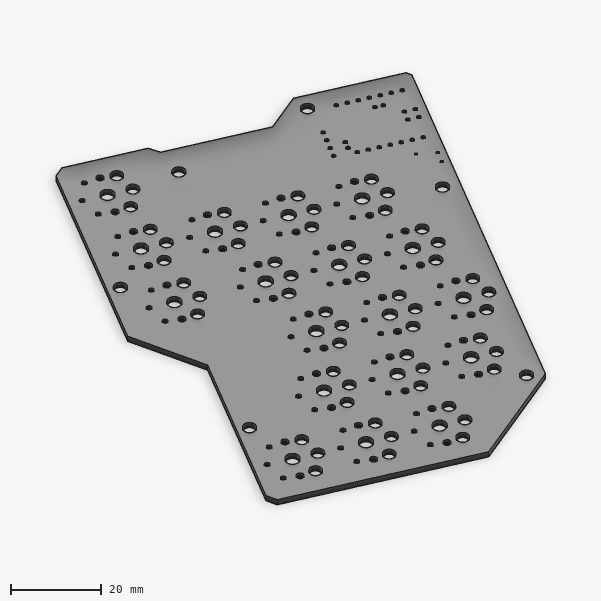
import cadquery as cq

PLATE_LENGTH = 117.0
PLATE_WIDTH = 84.0
PLATE_THICKNESS = 1.6

TOP_LEFT_CHAMFER = 1.0
TOP_RIGHT_CUT = 19.2
CORNER_CHAMFER = 2.0
RIGHT_STEP_HEIGHT = 14.0
THUMB_EDGE_END = 59.0
RIGHT_STEP_START = 72.8
LEFT_EDGE_BOTTOM = 57.0
LEFT_CUT = 7.0
THUMB_EDGE_LEFT = 5.0
THUMB_NOTCH_BOTTOM = 21.9
THUMB_NOTCH_TOP = 24.1

FIRST_COLUMN_X = 16.0
COLUMN_SPAN = 90.0
COLUMN_COUNT = 6
COLUMN_PITCH = COLUMN_SPAN / (COLUMN_COUNT - 1)
ROW_PITCH = 17.0
ROW_COUNT = 3
FINGER_COLUMN_BOTTOMS = [28.1, 34.0, 40.0, 36.0, 23.0]
THUMB_KEY_COUNT = 3
FIRST_THUMB_Y = 9.0
THUMB_RISE = 2.0

SWITCH_CENTRE_DIAMETER = 3.4
SOCKET_DIAMETER = 3.0
SIDE_PEG_DIAMETER = 1.8
SWITCH_PIN_DIAMETER = 1.3
MIDDLE_PIN_Y = 5.8
OUTER_PIN_X = 5.0
OUTER_PIN_Y = 3.7
SIDE_PEG_X = 5.5

MOUNTING_DIAMETER = 3.2
MOUNTING_CENTRES = [
    (36.0, 79.9),
    (97.0, 79.9),
    (4.0, 59.0),
    (14.0, 26.1),
    (94.0, 17.0),
    (44.1, 3.0),
]

HEADER_DIAMETER = 1.0
HEADER_PIN_COUNT = 7
HEADER_LENGTH = 15.2
HEADER_PITCH = HEADER_LENGTH / (HEADER_PIN_COUNT - 1)
HEADER_COLUMNS = [4.9, 20.1]
HEADER_BOTTOM = 65.3

PAD_BLOCK_SIDE_COUNT = 2
PAD_BLOCK_X = 11.3
PAD_BLOCK_Y = 79.0

DISPLAY_PIN_COUNT = 4
DISPLAY_X = 12.0
DISPLAY_Y = 60.0

CONNECTOR_DIAMETER = 1.02
CONNECTOR_PITCH = 1.9
UPRIGHT_CONNECTOR = (8.1, 73.2)
FLAT_CONNECTOR = (16.4, 63.8)

SMALL_DIAMETER = 0.7
SMALL_CENTRES = [(25.6, 82.1), (28.5, 82.1), (24.6, 77.5)]


def make_plate():
    outline = [
        (0, LEFT_EDGE_BOTTOM),
        (0, PLATE_WIDTH - TOP_LEFT_CHAMFER),
        (TOP_LEFT_CHAMFER, PLATE_WIDTH),
        (PLATE_LENGTH - TOP_RIGHT_CUT, PLATE_WIDTH),
        (PLATE_LENGTH, PLATE_WIDTH - TOP_RIGHT_CUT),
        (PLATE_LENGTH, RIGHT_STEP_HEIGHT + CORNER_CHAMFER),
        (PLATE_LENGTH - CORNER_CHAMFER, RIGHT_STEP_HEIGHT),
        (RIGHT_STEP_START, RIGHT_STEP_HEIGHT),
        (THUMB_EDGE_END, 0),
        (THUMB_EDGE_LEFT + CORNER_CHAMFER, 0),
        (THUMB_EDGE_LEFT, CORNER_CHAMFER),
        (THUMB_EDGE_LEFT, THUMB_NOTCH_BOTTOM),
        (LEFT_CUT, THUMB_NOTCH_TOP),
        (LEFT_CUT, LEFT_EDGE_BOTTOM - LEFT_CUT),
    ]
    return cq.Workplane("XY").polyline(outline).close().extrude(PLATE_THICKNESS)


def drill(plate, centres, diameter):
    """Cut round holes through the plate at the given centres."""
    drills = cq.Workplane("XY").pushPoints(centres).circle(diameter / 2).extrude(PLATE_THICKNESS)
    return plate.cut(drills)


def key_centres():
    """Thumb keys rise to the right; each finger column has its own stagger."""
    centres = []
    for i in range(THUMB_KEY_COUNT):
        centres.append((FIRST_COLUMN_X + i * COLUMN_PITCH, FIRST_THUMB_Y + i * THUMB_RISE))
    for column, bottom in enumerate(FINGER_COLUMN_BOTTOMS, start=1):
        for row in range(ROW_COUNT):
            centres.append((FIRST_COLUMN_X + column * COLUMN_PITCH, bottom + row * ROW_PITCH))
    return centres


def drill_switches(plate):
    """Each switch has a centre hole, two side pegs, three sockets and their mirrored pin holes."""
    sockets = [(0, MIDDLE_PIN_Y), (-OUTER_PIN_X, OUTER_PIN_Y), (OUTER_PIN_X, OUTER_PIN_Y)]
    hole_groups = [
        (SWITCH_CENTRE_DIAMETER, [(0, 0)]),
        (SOCKET_DIAMETER, sockets),
        (SIDE_PEG_DIAMETER, [(-SIDE_PEG_X, 0), (SIDE_PEG_X, 0)]),
        (SWITCH_PIN_DIAMETER, [(x, -y) for x, y in sockets]),
    ]
    keys = key_centres()
    for diameter, offsets in hole_groups:
        centres = [(key_x + x, key_y + y) for key_x, key_y in keys for x, y in offsets]
        plate = drill(plate, centres, diameter)
    return plate


def drill_headers(plate):
    """Controller columns, pad block and display row share one pin pitch."""
    centres = []
    for x in HEADER_COLUMNS:
        for i in range(HEADER_PIN_COUNT):
            centres.append((x, HEADER_BOTTOM + i * HEADER_PITCH))
    for i in range(PAD_BLOCK_SIDE_COUNT):
        for j in range(PAD_BLOCK_SIDE_COUNT):
            centres.append((PAD_BLOCK_X + i * HEADER_PITCH, PAD_BLOCK_Y + j * HEADER_PITCH))
    for i in range(DISPLAY_PIN_COUNT):
        centres.append((DISPLAY_X + i * HEADER_PITCH, DISPLAY_Y))
    return drill(plate, centres, HEADER_DIAMETER)


def drill_connectors(plate):
    upright_x, upright_y = UPRIGHT_CONNECTOR
    flat_x, flat_y = FLAT_CONNECTOR
    centres = [
        UPRIGHT_CONNECTOR,
        (upright_x, upright_y + CONNECTOR_PITCH),
        FLAT_CONNECTOR,
        (flat_x + CONNECTOR_PITCH, flat_y),
    ]
    return drill(plate, centres, CONNECTOR_DIAMETER)


result = make_plate()
result = drill_switches(result)
result = drill(result, MOUNTING_CENTRES, MOUNTING_DIAMETER)
result = drill_headers(result)
result = drill_connectors(result)
result = drill(result, SMALL_CENTRES, SMALL_DIAMETER)